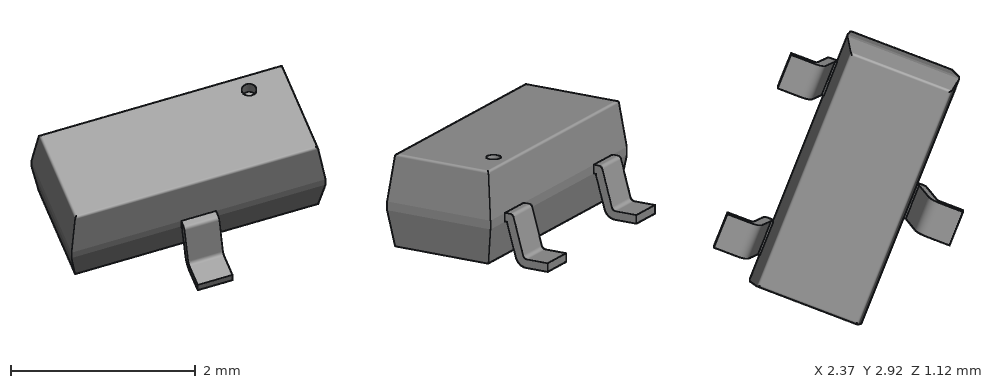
import cadquery as cq
import math

body_width = 1.3
body_length = 2.92
body_bottom = 0.055
body_top = 1.12
end_face_inset = 0.065
body_edge_radius = 0.03

mark_diameter = 0.16
mark_depth = 0.15
mark_x = -0.39

lead_span = 2.37
lead_width = 0.4
lead_thickness = 0.1
lead_pitch = 0.95
shoulder_top = 0.585
shoulder_length = 0.024
shank_lean = math.radians(16)
shoulder_bend_radius = 0.045
foot_inner_radius = 0.05
foot_outer_radius = 0.14

band_top = shoulder_top
band_bottom = shoulder_top - lead_thickness


def tapered_half(band_level, end_level):
    """Half of the body, narrowing from the band to a flat top or bottom face."""
    height = end_level - band_level
    draft = math.degrees(math.atan(end_face_inset / abs(height)))
    half = (
        cq.Workplane("XY", origin=(0, 0, band_level))
        .rect(body_width, body_length)
        .extrude(height, taper=draft)
    )
    end_face = ">Z" if height > 0 else "<Z"
    return half.faces(end_face).edges().fillet(body_edge_radius)


def make_body():
    """Moulded body with a blind round mark beside the first lead."""
    band = cq.Workplane("XY", origin=(0, 0, band_bottom)).box(
        body_width, body_length, lead_thickness, centered=(True, True, False)
    )
    mark = (
        cq.Workplane("XY", origin=(mark_x, lead_pitch, body_top - mark_depth))
        .circle(mark_diameter / 2)
        .extrude(mark_depth)
    )
    upper = tapered_half(band_top, body_top)
    lower = tapered_half(band_bottom, body_bottom)
    return band.union(upper).union(lower).cut(mark)


def make_lead(side, y):
    """Lead on the +X (side = 1) or -X (side = -1) face of the body, centred at y."""
    root_x = body_width / 2
    tip_x = lead_span / 2

    corner_shift = lead_thickness * math.tan((math.pi / 2 - shank_lean) / 2)
    shank_run = band_bottom * math.tan(shank_lean)
    shoulder_under = (root_x + shoulder_length, band_bottom)
    shoulder_over = (shoulder_under[0] + corner_shift, shoulder_top)
    foot_under = (shoulder_under[0] + shank_run, 0)
    foot_over = (foot_under[0] + corner_shift, lead_thickness)

    outline = [
        (root_x, shoulder_top),
        shoulder_over,
        foot_over,
        (tip_x, lead_thickness),
        (tip_x, 0),
        foot_under,
        shoulder_under,
        (root_x, band_bottom),
    ]
    lead = (
        cq.Workplane("XZ", origin=(0, y, 0))
        .polyline([(side * x, z) for x, z in outline])
        .close()
        .extrude(lead_width / 2, both=True)
    )
    bends = [
        (shoulder_over, shoulder_bend_radius),
        (foot_over, foot_inner_radius),
        (foot_under, foot_outer_radius),
    ]
    for (x, z), radius in bends:
        corner = cq.selectors.NearestToPointSelector((side * x, y, z))
        lead = lead.edges(corner).fillet(radius)
    return lead


body = make_body()
lead_places = [(-1, lead_pitch), (-1, -lead_pitch), (1, 0)]
leads = [make_lead(side, y) for side, y in lead_places]

result = cq.Compound.makeCompound([body.val(), *[lead.val() for lead in leads]])